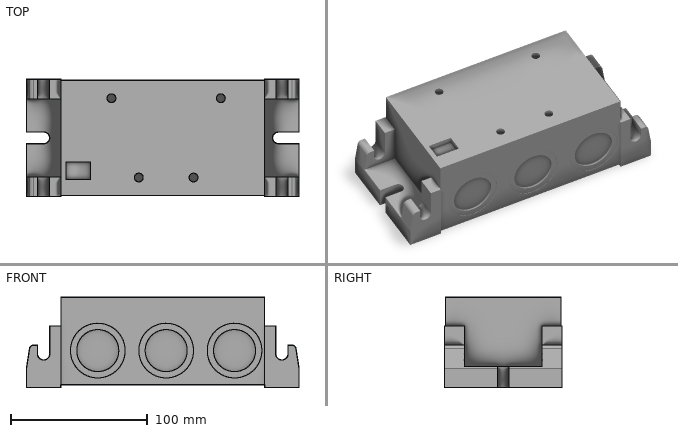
import cadquery as cq

LENGTH = 199.5
WIDTH = 86.0
HEIGHT = 66.0

BODY_LENGTH = 149.0
BODY_WIDTH = 84.5
BODY_BOTTOM = 2.0

BRACKET_LENGTH = (LENGTH - BODY_LENGTH) / 2
POST_THICKNESS = 8.2
POST_TOP = 45.0
CHEEK_WIDTH = 14.5
FLOOR_TOP = 15.2
HOOK_TOP = 31.0
FLANK_BOTTOM = 14.0
FLANK_RUN = 2.7
HOOK_TIP_RADIUS = 3.0
HOOK_SLOT_WIDTH = 8.8
HOOK_SLOT_BOTTOM = 20.2

FLOOR_SLOT_WIDTH = 8.3
LEFT_FLOOR_SLOT_REACH = 17.0
RIGHT_FLOOR_SLOT_REACH = 19.4

FEATURE_CENTRE_X = 2.5

PORT_PITCH = 50.0
PORT_CENTRE_Z = 27.0
PORT_RIM_DIAMETER = 40.0
PORT_RIM_DEPTH = 0.25
PORT_DIAMETER = 30.75
PORT_DEPTH = 1.75

HOLE_DIAMETER = 6.4
HOLE_DEPTH = 10.0
HOLE_ROW_Y = 29.0
BACK_HOLE_SPACING = 80.0
FRONT_HOLE_SPACING = 40.0

POCKET_LENGTH = 18.2
POCKET_WIDTH = 12.7
POCKET_DEPTH = 5.0
POCKET_CENTRE_X = -61.8
POCKET_CENTRE_Y = -24.0


def make_body():
    body_height = HEIGHT - BODY_BOTTOM
    return (
        cq.Workplane("XY", origin=(0, 0, BODY_BOTTOM))
        .box(BODY_LENGTH, BODY_WIDTH, body_height, centered=(True, True, False))
    )


def make_bracket(floor_slot_reach):
    """Bracket built at the -X end: hooked profile, cleared between the cheeks, with a floor slot."""
    outer_x = -LENGTH / 2
    inner_x = outer_x + BRACKET_LENGTH
    post_x = inner_x - POST_THICKNESS
    hook_x = post_x - HOOK_SLOT_WIDTH
    slot_radius = HOOK_SLOT_WIDTH / 2
    slot_centre_x = post_x - slot_radius
    arc_start_z = HOOK_SLOT_BOTTOM + slot_radius

    bracket = (
        cq.Workplane("XZ", origin=(0, WIDTH / 2, 0))
        .moveTo(outer_x, 0)
        .lineTo(inner_x, 0)
        .lineTo(inner_x, POST_TOP)
        .lineTo(post_x, POST_TOP)
        .lineTo(post_x, arc_start_z)
        .threePointArc((slot_centre_x, HOOK_SLOT_BOTTOM), (hook_x, arc_start_z))
        .lineTo(hook_x, HOOK_TOP)
        .lineTo(outer_x + FLANK_RUN, HOOK_TOP)
        .lineTo(outer_x, FLANK_BOTTOM)
        .close()
        .extrude(WIDTH)
    )
    hook_tip = cq.selectors.NearestToPointSelector((outer_x + FLANK_RUN, 0, HOOK_TOP))
    bracket = bracket.edges("|Y").edges(hook_tip).fillet(HOOK_TIP_RADIUS)

    clearance = (
        cq.Workplane("XY", origin=(outer_x, 0, FLOOR_TOP))
        .box(
            BRACKET_LENGTH,
            WIDTH - 2 * CHEEK_WIDTH,
            POST_TOP - FLOOR_TOP,
            centered=(False, True, False),
        )
    )
    floor_slot = (
        cq.Workplane("XY")
        .center(outer_x, 0)
        .slot2D(2 * floor_slot_reach, FLOOR_SLOT_WIDTH)
        .extrude(FLOOR_TOP)
    )
    return bracket.cut(clearance).cut(floor_slot)


def make_port_recesses():
    """Stepped round recesses of the front face: a shallow rim around a deeper disc."""
    front_y = -BODY_WIDTH / 2
    centres = [(FEATURE_CENTRE_X + step * PORT_PITCH, PORT_CENTRE_Z) for step in (-1, 0, 1)]
    front = cq.Workplane("XZ", origin=(0, front_y, 0)).pushPoints(centres)
    rims = front.circle(PORT_RIM_DIAMETER / 2).extrude(-PORT_RIM_DEPTH)
    discs = front.circle(PORT_DIAMETER / 2).extrude(-PORT_DEPTH)
    return rims.union(discs)


def make_top_holes():
    centres = []
    for row_y, spacing in ((HOLE_ROW_Y, BACK_HOLE_SPACING), (-HOLE_ROW_Y, FRONT_HOLE_SPACING)):
        for side in (-1, 1):
            centres.append((FEATURE_CENTRE_X + side * spacing / 2, row_y))
    return (
        cq.Workplane("XY", origin=(0, 0, HEIGHT))
        .pushPoints(centres)
        .circle(HOLE_DIAMETER / 2)
        .extrude(-HOLE_DEPTH)
    )


def make_top_pocket():
    return (
        cq.Workplane("XY", origin=(POCKET_CENTRE_X, POCKET_CENTRE_Y, HEIGHT))
        .rect(POCKET_LENGTH, POCKET_WIDTH)
        .extrude(-POCKET_DEPTH)
    )


left_bracket = make_bracket(LEFT_FLOOR_SLOT_REACH)
right_bracket = make_bracket(RIGHT_FLOOR_SLOT_REACH).mirror("YZ")

result = make_body().union(left_bracket).union(right_bracket)
result = result.cut(make_port_recesses())
result = result.cut(make_top_holes())
result = result.cut(make_top_pocket())